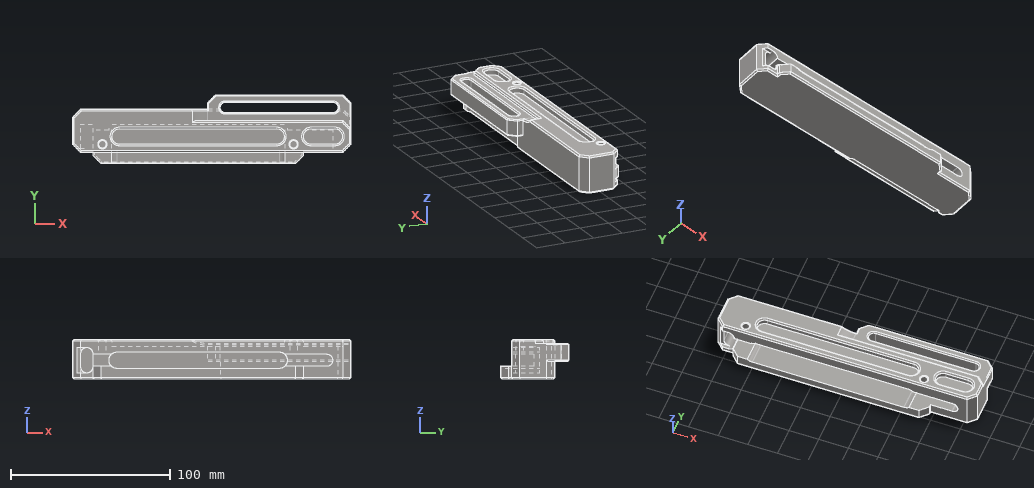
import cadquery as cq
import math

length = 175.0
body_depth = 27.1
height = 25.0
corner = 5.0
edge_break = 1.0

ledge_left = 12.8
ledge_right = 145.2
ledge_reach = 7.0

slot_mid_z = 11.9
narrow_height = 7.5
narrow_right = 163.6
narrow_depth = 14.0
wide_left = 22.8
wide_right = 135.1
wide_height = 10.2
wide_depth = 17.5
upright_left = corner
upright_right = ledge_left
upright_height = 16.0
upright_depth = wide_depth
notch_depth = 2.5
ledge_top = slot_mid_z - narrow_height / 2

bar_left = 84.9
bar_bottom = 11.2
bar_top = 22.4
bar_reach = 9.0
bar_corner = 4.9
bar_edge_break = 0.7
bar_back = body_depth + bar_reach
rail_depth = 20.0
step_left = 75.2
bar_slot_left = 92.8
bar_slot_right = 167.0
bar_slot_width = 6.5
bar_slot_y = 28.2
bar_slot_break = 0.9

pocket_spans = [(24.7, 133.2), (145.0, 169.8)]
pocket_width = 9.6
pocket_y = 10.0
pocket_depth = 4.4
pocket_break = 1.0
hole_xs = [18.7, 139.0]
hole_y = 5.0
hole_diameter = 4.7
hole_break = 0.5


def block(x0, x1, y0, y1, z0, z1):
    """Box between two opposite corners."""
    return cq.Workplane("XY").box(x1 - x0, y1 - y0, z1 - z0, centered=False).translate((x0, y0, z0))


def cornered_block(depth):
    """Full-length, full-height block with all four vertical corners chamfered."""
    return block(0, length, 0, depth, 0, height).edges("|Z").chamfer(corner)


def front_slot(x0, x1, slot_height, depth, y0=0.0):
    """Round-ended tool volume running from y0 towards +Y to the given depth."""
    span = x1 - x0
    across = slot_height
    angle = 0
    if slot_height > span:
        span, across, angle = slot_height, span, 90
    return (
        cq.Workplane("XZ", origin=((x0 + x1) / 2, depth, slot_mid_z))
        .slot2D(span, across, angle)
        .extrude(depth - y0)
    )


def top_slot(x0, x1, y, width, top, depth, rim):
    """Round-ended tool volume sunk from the top, with a chamfered rim."""
    mid_x = (x0 + x1) / 2
    well = cq.Workplane("XY", origin=(mid_x, y, top)).slot2D(x1 - x0, width).extrude(-depth)
    flare = (
        cq.Workplane("XY", origin=(mid_x, y, top))
        .slot2D(x1 - x0 + 2 * rim, width + 2 * rim)
        .extrude(-rim, taper=45)
    )
    return well.union(flare)


def screw_hole(x):
    """Drill volume from the top face to the middle of the narrow slot, with a chamfered rim."""
    radius = hole_diameter / 2
    top = cq.Workplane("XY", origin=(x, hole_y, height))
    drill = top.circle(radius).extrude(slot_mid_z - height)
    flare = top.circle(radius + hole_break).extrude(-hole_break, taper=45)
    return drill.union(flare)


def make_step():
    """Volume above the step: an arc falls from the top and ends level at the bar."""
    run = bar_left - step_left
    drop = height - bar_top
    radius = (run**2 + drop**2) / (2 * drop)
    half_angle = math.atan2(run, radius - drop) / 2
    arc_mid = (bar_left - radius * math.sin(half_angle), bar_top + radius * (1 - math.cos(half_angle)))
    return (
        cq.Workplane("XZ", origin=(0, bar_back, 0))
        .moveTo(step_left, height)
        .threePointArc(arc_mid, (bar_left, bar_top))
        .lineTo(length, bar_top)
        .lineTo(length, height)
        .close()
        .extrude(bar_back)
    )


def make_base():
    """Body and ledge, cut down at the step, with top and bottom rims chamfered."""
    ledge = (
        block(ledge_left, ledge_right, -ledge_reach, corner, 0, ledge_top)
        .edges("|Z and <Y")
        .chamfer(corner)
    )
    base = cornered_block(body_depth).union(ledge)
    base = base.faces("<Z").chamfer(edge_break).cut(make_step())
    arc_start = cq.selectors.NearestToPointSelector((step_left, body_depth / 2, height))
    top_rim = base.faces(">Z").edges(cq.selectors.InverseSelector(arc_start))
    step_rim = base.edges("%CIRCLE and >Y")
    return top_rim.add(step_rim).chamfer(edge_break)


def make_bar():
    """Bar behind the body, reaching in far enough to fill the body's rear right corner."""
    bar = block(bar_left, length, rail_depth - corner, bar_back, bar_bottom, bar_top)
    bar = bar.edges("|Z and >Y").chamfer(bar_corner)
    return bar.faces("<Z or >Z").chamfer(bar_edge_break)


rail = cornered_block(rail_depth).faces("<Z or >Z").chamfer(edge_break)
result = make_base().union(rail).union(make_bar())

upright_mid_x = (upright_left + upright_right) / 2
result = result.cut(front_slot(upright_mid_x, narrow_right, narrow_height, narrow_depth))
result = result.cut(front_slot(wide_left, wide_right, wide_height, wide_depth, -ledge_reach))
result = result.cut(front_slot(upright_left, upright_right, upright_height, upright_depth))
notch_bottom = slot_mid_z - upright_height / 2
notch_top = slot_mid_z + upright_height / 2
result = result.cut(block(0, upright_mid_x, 0, notch_depth, notch_bottom, notch_top))

result = result.cut(
    top_slot(bar_slot_left, bar_slot_right, bar_slot_y, bar_slot_width, bar_top, bar_top, bar_slot_break)
)

for left, right in pocket_spans:
    result = result.cut(top_slot(left, right, pocket_y, pocket_width, height, pocket_depth, pocket_break))

for hole_x in hole_xs:
    result = result.cut(screw_hole(hole_x))